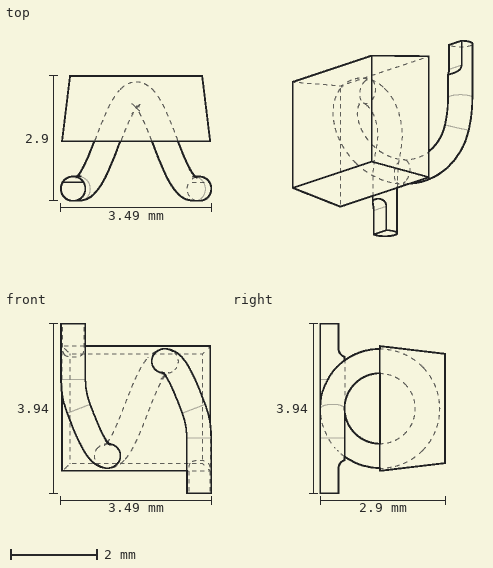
import cadquery as cq
import math

wire_diameter = 0.57
coil_radius = 1.1
coil_pitch = 2.67

bend_height = 0.68
lead_tip_z = 1.97

relief_depth = 0.14
relief_length = 0.58
relief_corner_radius = 0.2

block_depth = 1.515
block_front_width = 3.44
block_front_height = 2.9
block_back_width = 3.07
block_back_height = 2.54

wire_radius = wire_diameter / 2
coil_end_x = coil_pitch / 2
helix_angle = math.atan(coil_pitch / (2 * math.pi * coil_radius))
bend_radius = bend_height / math.sin(helix_angle)
lead_x = coil_end_x + bend_radius * (1 - math.cos(helix_angle))
lead_y = -coil_radius
lead_back_y = lead_y + wire_radius
relief_start_z = lead_tip_z - relief_length


def make_coil():
    """One turn from the left end to the right end: front, bottom, back, top, front."""
    origin = cq.Vector(0, 0, 0)
    x_axis = cq.Vector(1, 0, 0)
    helix = cq.Wire.makeHelix(coil_pitch, coil_pitch, coil_radius, center=origin, dir=x_axis)
    helix = helix.rotate(origin, x_axis, 90).translate(cq.Vector(-coil_end_x, 0, 0))
    start_plane = cq.Plane(
        origin=(-coil_end_x, lead_y, 0),
        xDir=(0, 1, 0),
        normal=(math.sin(helix_angle), 0, -math.cos(helix_angle)),
    )
    path = cq.Workplane(obj=helix)
    return cq.Workplane(start_plane).circle(wire_radius).sweep(path, isFrenet=True)


def make_bend():
    """Left bend, turned down from the vertical lead until it meets the slope of the coil."""
    return (
        cq.Workplane(origin=(-lead_x, lead_y, bend_height))
        .circle(wire_radius)
        .revolve(math.degrees(helix_angle), (bend_radius, 0, 0), (bend_radius, -1, 0))
    )


def make_lead_relief():
    """Cutter for the left lead tip, drawn in the YZ plane and run across the full wire."""
    flat_y = lead_back_y - relief_depth
    arc_center_y = flat_y + relief_corner_radius
    runout_angle = math.acos(1 - relief_depth / relief_corner_radius)
    runout_z = relief_start_z - relief_corner_radius * math.sin(runout_angle)
    arc_middle = (
        arc_center_y - relief_corner_radius * math.cos(runout_angle / 2),
        relief_start_z - relief_corner_radius * math.sin(runout_angle / 2),
    )
    return (
        cq.Workplane("YZ", origin=(-lead_x, 0, 0))
        .moveTo(flat_y, lead_tip_z)
        .lineTo(flat_y, relief_start_z)
        .threePointArc(arc_middle, (lead_back_y, runout_z))
        .lineTo(lead_back_y, lead_tip_z)
        .close()
        .extrude(wire_radius, both=True)
    )


def make_left_lead():
    straight = (
        cq.Workplane(origin=(-lead_x, lead_y, bend_height))
        .circle(wire_radius)
        .extrude(lead_tip_z - bend_height)
    )
    return straight.cut(make_lead_relief()).union(make_bend())


def make_wire():
    """Coil with both leads; the right lead is the left one turned half round the Y axis."""
    left_lead = make_left_lead()
    right_lead = left_lead.rotate((0, 0, 0), (0, 1, 0), 180)
    return make_coil().union(left_lead).union(right_lead)


def make_block(wire):
    """Tapered block with a tunnel that the back half of the coil fills."""
    tapered = (
        cq.Workplane("XZ")
        .rect(block_front_width, block_front_height)
        .workplane(offset=-block_depth)
        .rect(block_back_width, block_back_height)
        .loft(ruled=True)
    )
    return tapered.cut(wire)


wire = make_wire()
block = make_block(wire)

result = cq.Compound.makeCompound([block.solids().val(), wire.solids().val()])